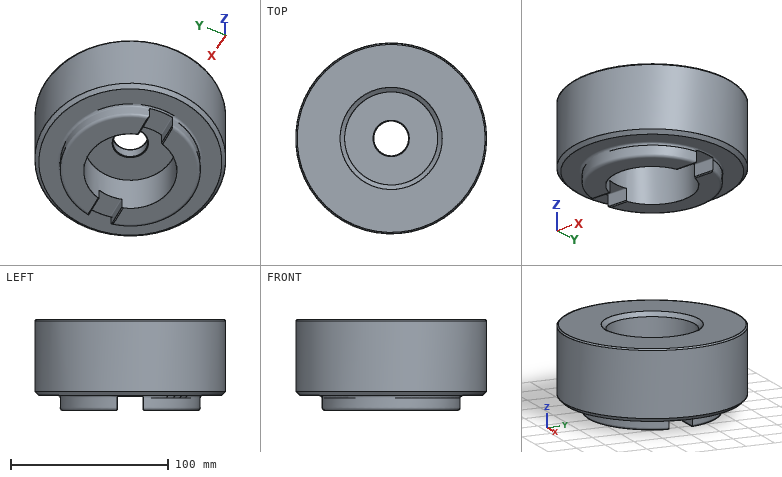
import cadquery as cq

outer_diameter = 121.4
total_height = 58.0
boss_height = 9.7
top_chamfer = 1.0
bottom_chamfer = 2.5

boss_diameter = 89.1
base_fillet = 1.6
rim_fillet = 2.0
slot_width = 16.3
slot_floor_drop = 0.7
slot_mouth_chamfer = 0.7
slot_floor_fillet = 0.6

pocket_diameter = 59.1
pocket_depth = 20.0
pocket_chamfer = 2.9
bore_diameter = 22.1
bore_chamfer = 0.5

outer_radius = outer_diameter / 2
boss_radius = boss_diameter / 2
pocket_radius = pocket_diameter / 2
bore_radius = bore_diameter / 2
upper_floor = total_height - pocket_depth
lower_floor = boss_height + pocket_depth


def make_body():
    """Revolve the half section, with the boss underside at Z = 0."""
    return (
        cq.Workplane("XZ")
        .moveTo(pocket_radius, 0)
        .lineTo(boss_radius - rim_fillet, 0)
        .radiusArc((boss_radius, rim_fillet), -rim_fillet)
        .lineTo(boss_radius, boss_height - base_fillet)
        .radiusArc((boss_radius + base_fillet, boss_height), base_fillet)
        .lineTo(outer_radius - bottom_chamfer, boss_height)
        .lineTo(outer_radius, boss_height + bottom_chamfer)
        .lineTo(outer_radius, total_height - top_chamfer)
        .lineTo(outer_radius - top_chamfer, total_height)
        .lineTo(pocket_radius + pocket_chamfer, total_height)
        .lineTo(pocket_radius, total_height - pocket_chamfer)
        .lineTo(pocket_radius, upper_floor)
        .lineTo(bore_radius + bore_chamfer, upper_floor)
        .lineTo(bore_radius, upper_floor - bore_chamfer)
        .lineTo(bore_radius, lower_floor + bore_chamfer)
        .lineTo(bore_radius + bore_chamfer, lower_floor)
        .lineTo(pocket_radius, lower_floor)
        .close()
        .revolve(360, (0, 0, 0), (0, 1, 0))
    )


def make_slot():
    """Slot along X that splits the boss ring, with a flared mouth and rounded floor corners."""
    half_width = slot_width / 2
    slot_floor = boss_height - slot_floor_drop
    return (
        cq.Workplane("YZ")
        .moveTo(-half_width - slot_mouth_chamfer, 0)
        .lineTo(half_width + slot_mouth_chamfer, 0)
        .lineTo(half_width, slot_mouth_chamfer)
        .lineTo(half_width, slot_floor)
        .lineTo(-half_width, slot_floor)
        .lineTo(-half_width, slot_mouth_chamfer)
        .close()
        .extrude(outer_radius, both=True)
        .edges("|X and >Z")
        .fillet(slot_floor_fillet)
    )


result = make_body().cut(make_slot())